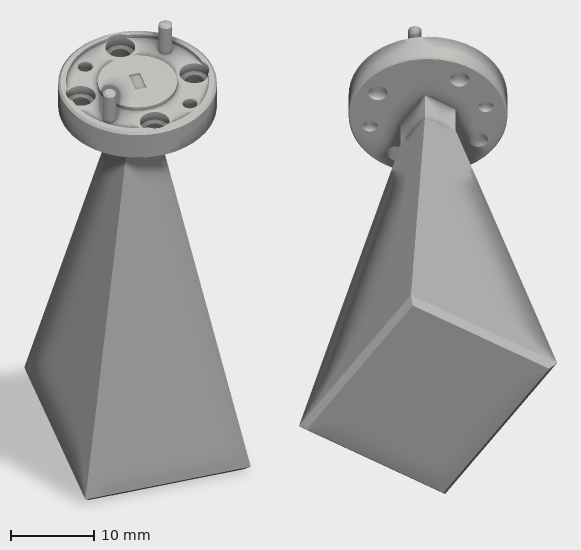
import cadquery as cq
import math

TOTAL_HEIGHT = 58.0
PIN_PROJECTION = 3.75
FLANGE_THICKNESS = 4.05
NECK_LENGTH = 3.65
FLANGE_TOP = TOTAL_HEIGHT - PIN_PROJECTION
FLANGE_BOTTOM = FLANGE_TOP - FLANGE_THICKNESS
NECK_BOTTOM = FLANGE_BOTTOM - NECK_LENGTH

MOUTH_X = 25.3
MOUTH_Y = 20.75
NECK_X = 5.5
NECK_Y = 4.3
MOUTH_BEVEL_HEIGHT = 0.8
MOUTH_BEVEL_INSET = 0.7

FLANGE_DIAMETER = 19.1
TOP_CHAMFER = 0.3
BOTTOM_CHAMFER = 0.2
RECESS_DIAMETER = 17.15
BOSS_DIAMETER = 9.6
RECESS_DEPTH = 0.5
RECESS_FLOOR = FLANGE_TOP - RECESS_DEPTH

WAVEGUIDE_X = 2.8
WAVEGUIDE_Y = 1.4
WAVEGUIDE_DEPTH = 0.25

PITCH_RADIUS = 7.15
SCREW_HOLE_DIAMETER = 2.3
COUNTERBORE_DIAMETER = 3.6
COUNTERBORE_DEPTH = 1.2
SCREW_ANGLES = (0, 90, 180, 270)
ALIGNMENT_HOLE_DIAMETER = 1.75
ALIGNMENT_CHAMFER = 0.1
ALIGNMENT_ANGLES = (45, 225)
PIN_DIAMETER = 1.6
PIN_CHAMFER = 0.25
PIN_ANGLES = (135, 315)


def pitch_point(angle):
    """Return the XY position on the pitch circle at an angle in degrees."""
    radians = math.radians(angle)
    return (PITCH_RADIUS * math.cos(radians), PITCH_RADIUS * math.sin(radians))


def cylinder(diameter, bottom, top, center=(0, 0)):
    """Return an upright cylinder between two heights."""
    return (
        cq.Workplane("XY", origin=(*center, bottom))
        .circle(diameter / 2)
        .extrude(top - bottom)
    )


def rectangular_taper(bottom_size, top_size, bottom, top):
    """Return a solid with plane sides between two centered rectangles."""
    return (
        cq.Workplane("XY", origin=(0, 0, bottom))
        .rect(*bottom_size)
        .workplane(offset=top - bottom)
        .rect(*top_size)
        .loft(ruled=True)
    )


def make_horn_body():
    """Return the bevelled mouth, pyramidal flare and straight neck."""
    mouth = (MOUTH_X, MOUTH_Y)
    bevelled_mouth = (MOUTH_X - 2 * MOUTH_BEVEL_INSET, MOUTH_Y - 2 * MOUTH_BEVEL_INSET)
    neck_size = (NECK_X, NECK_Y)
    bevel = rectangular_taper(bevelled_mouth, mouth, 0, MOUTH_BEVEL_HEIGHT)
    flare = rectangular_taper(mouth, neck_size, MOUTH_BEVEL_HEIGHT, NECK_BOTTOM)
    neck = (
        cq.Workplane("XY", origin=(0, 0, NECK_BOTTOM))
        .rect(*neck_size)
        .extrude(NECK_LENGTH)
    )
    return bevel.union(flare).union(neck)


def make_flange():
    """Return the chamfered disc with its annular recess around the boss."""
    disc = cylinder(FLANGE_DIAMETER, FLANGE_BOTTOM, FLANGE_TOP)
    disc = disc.faces(">Z").edges().chamfer(TOP_CHAMFER)
    disc = disc.faces("<Z").edges().chamfer(BOTTOM_CHAMFER)
    recess = cylinder(RECESS_DIAMETER, RECESS_FLOOR, FLANGE_TOP).cut(
        cylinder(BOSS_DIAMETER, RECESS_FLOOR, FLANGE_TOP)
    )
    return disc.cut(recess)


def cut_waveguide(body):
    """Cut the rectangular waveguide opening into the boss."""
    opening = (
        cq.Workplane("XY", origin=(0, 0, FLANGE_TOP))
        .rect(WAVEGUIDE_X, WAVEGUIDE_Y)
        .extrude(-WAVEGUIDE_DEPTH)
    )
    return body.cut(opening)


def alignment_countersink(center):
    """Return the cone that chamfers the rim of an alignment hole."""
    hole_radius = ALIGNMENT_HOLE_DIAMETER / 2
    return (
        cq.Workplane("XY", origin=(*center, RECESS_FLOOR))
        .circle(hole_radius + ALIGNMENT_CHAMFER)
        .workplane(offset=-ALIGNMENT_CHAMFER)
        .circle(hole_radius)
        .loft()
    )


def drill_flange(flange):
    """Cut counterbored screw holes, chamfered alignment holes and pin sockets."""
    counterbore_floor = RECESS_FLOOR - COUNTERBORE_DEPTH
    for angle in SCREW_ANGLES:
        center = pitch_point(angle)
        flange = flange.cut(cylinder(SCREW_HOLE_DIAMETER, FLANGE_BOTTOM, FLANGE_TOP, center))
        flange = flange.cut(cylinder(COUNTERBORE_DIAMETER, counterbore_floor, FLANGE_TOP, center))
    for angle in ALIGNMENT_ANGLES:
        center = pitch_point(angle)
        flange = flange.cut(cylinder(ALIGNMENT_HOLE_DIAMETER, FLANGE_BOTTOM, FLANGE_TOP, center))
        flange = flange.cut(alignment_countersink(center))
    for angle in PIN_ANGLES:
        flange = flange.cut(cylinder(PIN_DIAMETER, FLANGE_BOTTOM, FLANGE_TOP, pitch_point(angle)))
    return flange


def make_pin(angle):
    """Return a dowel pin that passes through the flange, chamfered at its tip."""
    pin = cylinder(PIN_DIAMETER, FLANGE_BOTTOM, TOTAL_HEIGHT, pitch_point(angle))
    return pin.faces(">Z").edges().chamfer(PIN_CHAMFER)


horn_antenna = cut_waveguide(drill_flange(make_flange()).union(make_horn_body()))
pins = [make_pin(angle) for angle in PIN_ANGLES]

result = cq.Compound.makeCompound([horn_antenna.val(), *[pin.val() for pin in pins]])